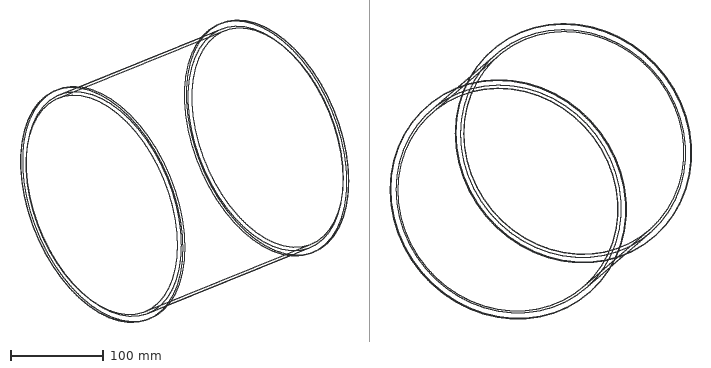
import cadquery as cq

length = 238.0
bore_diameter = 249.0
tube_diameter = 255.0
flange_diameter = 267.0
flange_thickness = 3.0


def cylinder_along_y(diameter, start_y, depth):
    """Solid cylinder running from start_y toward +Y."""
    plane = cq.Workplane("XZ", origin=(0, start_y, 0))
    return plane.circle(diameter / 2).extrude(-depth)


front_y = -length / 2
back_y = length / 2

tube = cylinder_along_y(tube_diameter, front_y, length)
front_flange = cylinder_along_y(flange_diameter, front_y, flange_thickness)
back_flange = cylinder_along_y(flange_diameter, back_y - flange_thickness, flange_thickness)
bore = cylinder_along_y(bore_diameter, front_y, length)

result = tube.union(front_flange).union(back_flange).cut(bore)